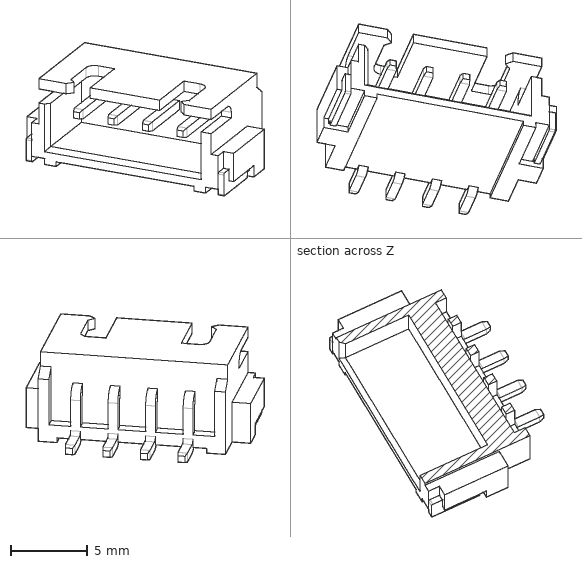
import cadquery as cq
import math


height = 6.0
body_width = 12.51
wall = 0.72
roof = 0.74
floor_top = 1.22
body_depth = 7.8
roof_depth = 7.0
cavity_depth = 5.0
cavity_width = body_width - 2 * wall
cavity_top = height - roof
mouth_chamfer = 0.32

slope_top = 5.0
slope_bottom = 4.4

side_slot_depth = 3.08
side_slot_bottom = 4.28
slot_radius = 0.6

roof_slot_depth = 3.7
roof_slot_inner_x = 2.52
roof_slot_outer_x = 4.29
nub = 0.4

overall_width = 15.0
block_height = 2.8
block_front = 0.81
block_rear = 5.5
step_width = 13.53
shoulder_y = 3.9
notch_height = 0.81

belly_width = 9.99
belly_height = 0.33
recess_inner_x = 5.85

tab_thickness = 0.4
tab_height = 1.62
tab_radius = 0.1
tab_step_length = 0.28
tab_step_height = 0.42

pin_count = 4
pin_pitch = 2.5
pin_size = 0.65
pin_axis_z = 3.66
pin_tip_front = 0.5
pin_tip_rear = 10.0
tip_length = 0.36
tip_size = 0.45
bend_inner_radius = 0.27
bend_outer_radius = bend_inner_radius + pin_size
leg_rear = body_depth


def box(x_min, x_max, y_min, y_max, z_min, z_max):
    """Box given by its limits along the three axes."""
    size = (x_max - x_min, y_max - y_min, z_max - z_min)
    return cq.Workplane().box(*size, centered=False).translate((x_min, y_min, z_min))


def centered_box(width, y_min, y_max, z_min, z_max):
    """Box that is symmetric about X = 0."""
    return box(-width / 2, width / 2, y_min, y_max, z_min, z_max)


def both_sides(shape):
    """Shape on the +X side joined with its mirror image on the -X side."""
    return shape.union(shape.mirror("YZ"))


def shell():
    """Side profile extruded across the body, with the rear opened between the side walls."""
    profile = [
        (0, 0),
        (body_depth, 0),
        (body_depth, slope_bottom),
        (roof_depth, slope_top),
        (roof_depth, height),
        (0, height),
    ]
    body = cq.Workplane("YZ").polyline(profile).close().extrude(body_width / 2, both=True)
    return body.cut(centered_box(cavity_width, roof_depth, body_depth, floor_top, height))


def cavity():
    """Socket opening; its floor and its -X wall are chamfered at the mouth."""
    opening = centered_box(cavity_width, 0, cavity_depth, floor_top, cavity_top)
    right_x = cavity_width / 2
    mouth = (
        cq.Workplane("XZ")
        .polyline(mouth_corners(right_x, mouth_chamfer))
        .close()
        .workplane(offset=-mouth_chamfer)
        .polyline(mouth_corners(right_x, 0))
        .close()
        .loft(ruled=True)
    )
    return opening.union(mouth)


def mouth_corners(right_x, widening):
    """Corners of the opening, widened downward and toward -X only."""
    left_x = -right_x - widening
    bottom = floor_top - widening
    return [(left_x, bottom), (right_x, bottom), (right_x, cavity_top), (left_x, cavity_top)]


def side_slot():
    """Slot through both side walls, rounded at its upper rear corner."""
    slot = centered_box(body_width, 0, side_slot_depth, side_slot_bottom, cavity_top)
    return slot.edges("|X and >Y and >Z").fillet(slot_radius)


def roof_slot():
    """Keying slot through the roof on the +X side."""
    outline = [
        (roof_slot_inner_x, 0),
        (roof_slot_outer_x, 0),
        (roof_slot_outer_x - nub, nub),
        (roof_slot_outer_x, 2 * nub),
        (roof_slot_outer_x, roof_slot_depth),
        (roof_slot_inner_x, roof_slot_depth),
    ]
    slot = cq.Workplane("XY", origin=(0, 0, cavity_top)).polyline(outline).close().extrude(roof)
    rounded_corner = cq.selectors.NearestToPointSelector(
        (roof_slot_outer_x, roof_slot_depth, cavity_top + roof / 2)
    )
    return slot.edges("|Z").edges(rounded_corner).fillet(slot_radius)


def mounting_block():
    """Block on the +X side: a step from the front face and a wider part notched from below."""
    inner_x = body_width / 2
    step_x = step_width / 2
    outer_x = overall_width / 2
    step = box(inner_x, step_x, 0, block_rear, 0, block_height)
    block = box(step_x, outer_x, block_front, block_rear, 0, block_height)
    notch = box(step_x, outer_x, block_front, shoulder_y, 0, notch_height)
    return step.union(block.cut(notch))


def underside():
    """Clearance under the belly and a recess beside each foot."""
    belly = centered_box(belly_width, 0, body_depth, 0, belly_height)
    recess = box(recess_inner_x, step_width / 2, 0, shoulder_y, 0, tab_step_height)
    return belly.union(both_sides(recess))


def contact(x):
    """Square pin bent down behind the housing and out along the board."""
    half = pin_size / 2
    top = pin_axis_z + half
    bottom = pin_axis_z - half
    leg_front = leg_rear - pin_size
    diagonal = math.sqrt(0.5)
    upper_center_y = leg_front - bend_inner_radius
    upper_center_z = bottom - bend_inner_radius
    lower_center_y = leg_rear + bend_inner_radius
    lower_center_z = pin_size + bend_inner_radius
    inner_mid = bend_inner_radius * diagonal
    outer_mid = bend_outer_radius * diagonal
    front_y = pin_tip_front + tip_length
    rear_y = pin_tip_rear - tip_length
    bar = (
        cq.Workplane("YZ", origin=(x, 0, 0))
        .moveTo(front_y, top)
        .lineTo(upper_center_y, top)
        .threePointArc(
            (upper_center_y + outer_mid, upper_center_z + outer_mid), (leg_rear, upper_center_z)
        )
        .lineTo(leg_rear, lower_center_z)
        .threePointArc(
            (lower_center_y - inner_mid, lower_center_z - inner_mid), (lower_center_y, pin_size)
        )
        .lineTo(rear_y, pin_size)
        .lineTo(rear_y, 0)
        .lineTo(lower_center_y, 0)
        .threePointArc(
            (lower_center_y - outer_mid, lower_center_z - outer_mid), (leg_front, lower_center_z)
        )
        .lineTo(leg_front, upper_center_z)
        .threePointArc(
            (upper_center_y + inner_mid, upper_center_z + inner_mid), (upper_center_y, bottom)
        )
        .lineTo(front_y, bottom)
        .close()
        .extrude(half, both=True)
    )
    front_tip = pin_tip(x, front_y, pin_axis_z, -1)
    rear_tip = pin_tip(x, rear_y, half, 1)
    return bar.union(front_tip).union(rear_tip)


def pin_tip(x, y, z, direction):
    """Tapered pin end that points along -Y or +Y."""
    base = cq.Plane(origin=(x, y, z), xDir=(1, 0, 0), normal=(0, direction, 0))
    return (
        cq.Workplane(base)
        .rect(pin_size, pin_size)
        .workplane(offset=tip_length)
        .rect(tip_size, tip_size)
        .loft(ruled=True)
    )


def solder_tab():
    """Upright plate on the +X side, stepped at its lower rear corner."""
    inner_x = step_width / 2
    outer_x = inner_x + tab_thickness
    plate = box(inner_x, outer_x, 0, shoulder_y, 0, tab_height)
    step = box(inner_x, outer_x, shoulder_y - tab_step_length, shoulder_y, 0, tab_step_height)
    plate = plate.edges("|X and <Y").fillet(tab_radius)
    return plate.cut(step).edges("|X").edges("<Z").edges(">Y").fillet(tab_radius)


right_tab = solder_tab()
left_tab = right_tab.mirror("YZ")

housing = (
    shell()
    .cut(cavity())
    .cut(side_slot())
    .cut(both_sides(roof_slot()))
    .union(both_sides(mounting_block()))
    .cut(underside())
)
for index in range(pin_count):
    housing = housing.union(contact((index - (pin_count - 1) / 2) * pin_pitch))
housing = housing.cut(right_tab).cut(left_tab)

result = cq.Compound.makeCompound([housing.val(), left_tab.val(), right_tab.val()])